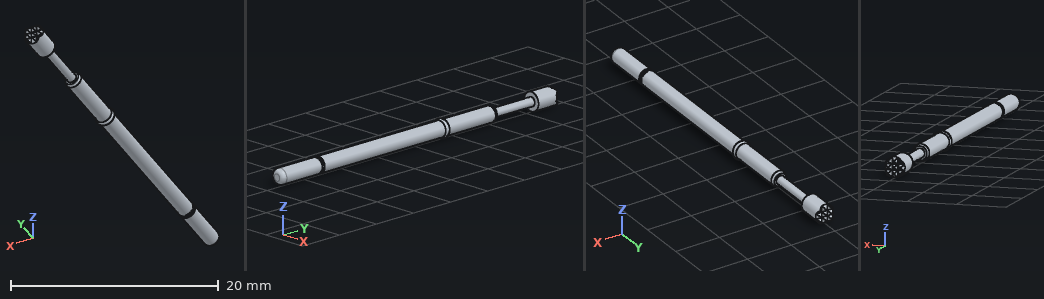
import cadquery as cq
import math

length = 37.3
tip_y = length / 2
tail_y = -length / 2

head_radius = 1.0
head_length = 2.95
rod_radius = 0.5
tooth_rows = 3
tooth_pitch = 0.6
groove_depth = 0.45
shoulder_depth = 0.5

barrel_radius = 0.85
barrel_length = 29.05
mouth_radius = 0.7
mouth_taper_length = 0.35
tail_round = 0.5

ring_radius = 1.0
ring_width = 0.52
ring_to_tip = 15.07

neck_radius = 0.75
neck_width = 0.35
neck_slope = 0.1
neck_to_tail = 5.5

head_back_y = tip_y - head_length
mouth_y = tail_y + barrel_length
ring_y = tip_y - ring_to_tip
neck_y = tail_y + neck_to_tail


def turned(profile):
    """Revolve a closed half profile (radius along X, axis along Y)."""
    return profile.close().revolve(360, (0, 0, 0), (0, 1, 0))


def make_barrel():
    round_center_r = barrel_radius - tail_round
    round_center_y = tail_y + tail_round
    diagonal = tail_round * math.sqrt(0.5)
    profile = (
        cq.Workplane("XY")
        .moveTo(0, tail_y)
        .lineTo(round_center_r, tail_y)
        .threePointArc(
            (round_center_r + diagonal, round_center_y - diagonal),
            (barrel_radius, round_center_y),
        )
        .lineTo(barrel_radius, neck_y - neck_width / 2)
        .lineTo(neck_radius, neck_y - neck_width / 2 + neck_slope)
        .lineTo(neck_radius, neck_y + neck_width / 2)
        .lineTo(barrel_radius, neck_y + neck_width / 2)
        .lineTo(barrel_radius, ring_y - ring_width / 2)
        .threePointArc((ring_radius, ring_y), (barrel_radius, ring_y + ring_width / 2))
        .lineTo(barrel_radius, mouth_y - mouth_taper_length)
        .lineTo(mouth_radius, mouth_y)
        .lineTo(0, mouth_y)
    )
    return turned(profile)


def make_plunger():
    profile = (
        cq.Workplane("XY")
        .moveTo(0, mouth_y)
        .lineTo(rod_radius, mouth_y)
        .lineTo(rod_radius, head_back_y)
        .lineTo(head_radius, head_back_y)
        .lineTo(head_radius, tip_y)
        .lineTo(0, tip_y)
    )
    return turned(profile)


def make_tooth_rows():
    """Block that encloses the head and ends in parallel V-shaped ridges running along Z."""
    outer_ridge_x = (tooth_rows - 1) / 2 * tooth_pitch
    shoulder_y = tip_y - shoulder_depth
    outline = cq.Workplane("XY").moveTo(-head_radius, mouth_y).lineTo(-head_radius, shoulder_y)
    for row in range(tooth_rows):
        ridge_x = row * tooth_pitch - outer_ridge_x
        if row > 0:
            outline = outline.lineTo(ridge_x - tooth_pitch / 2, tip_y - groove_depth)
        outline = outline.lineTo(ridge_x, tip_y)
    outline = outline.lineTo(head_radius, shoulder_y).lineTo(head_radius, mouth_y).close()
    return outline.extrude(head_radius, both=True)


tooth_ridges = make_tooth_rows()
crossing_ridges = tooth_ridges.rotate((0, 0, 0), (0, 1, 0), 90)
plunger = make_plunger().intersect(tooth_ridges).intersect(crossing_ridges)

result = make_barrel().union(plunger)